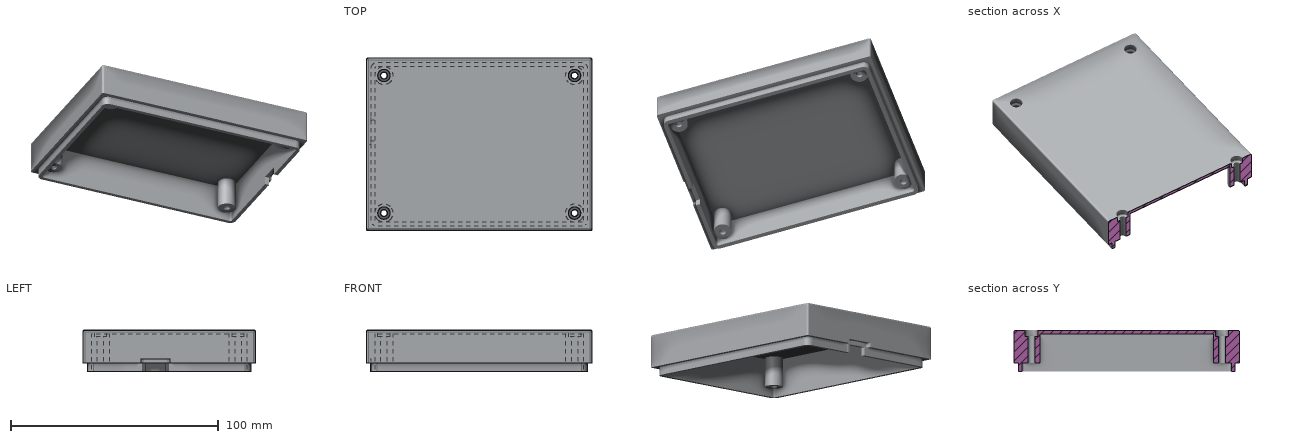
import cadquery as cq

length = 108.7
width = 83.2
height = 20.0
edge_radius = 1.0

lip_height = 4.0
lip_inset = 2.2
lip_thickness = 2.0
lip_corner_radius = 3.0

roof_thickness = 2.0
wall_thickness = lip_inset + lip_thickness
cavity_corner_radius = lip_corner_radius - lip_thickness

hole_edge_distance = 8.5
hole_diameter = 3.2
counterbore_diameter = 6.0
counterbore_depth = 3.0
boss_diameter = 8.7

opening_center_y = 6.6
opening_width = 10.1
pad_width = 1.0
pad_inset = 2.1
frame_width = opening_width + 2 * pad_width
recess_corner_radius = 1.0
recess_width = frame_width + 2 * recess_corner_radius
recess_depth = lip_inset
recess_rise = 2.1


def box_from(size_x, size_y, bottom, top):
    """Box centered on the Z axis between two heights."""
    box = cq.Workplane("XY").box(size_x, size_y, top - bottom, centered=(True, True, False))
    return box.translate((0, 0, bottom))


def wall_box(start_inset, end_inset, size_y, bottom, top):
    """Box in the -X wall, between two distances in from its outer face."""
    box = cq.Workplane("XY").box(end_inset - start_inset, size_y, top - bottom, centered=(False, True, False))
    return box.translate((start_inset - length / 2, opening_center_y, bottom))


def make_shell():
    cover = box_from(length, width, lip_height, height).edges("|Z or >Z").fillet(edge_radius)
    lip = box_from(length - 2 * lip_inset, width - 2 * lip_inset, 0, height - roof_thickness)
    lip = lip.edges("|Z").fillet(lip_corner_radius)
    cavity = box_from(length - 2 * wall_thickness, width - 2 * wall_thickness, 0, height - roof_thickness)
    cavity = cavity.edges("|Z").fillet(cavity_corner_radius)
    return cover.union(lip).cut(cavity)


def add_screw_holes(body):
    spacing_x = length - 2 * hole_edge_distance
    spacing_y = width - 2 * hole_edge_distance
    bosses = (
        cq.Workplane("XY", origin=(0, 0, lip_height))
        .rarray(spacing_x, spacing_y, 2, 2)
        .circle(boss_diameter / 2)
        .extrude(height - roof_thickness - lip_height)
    )
    return (
        body.union(bosses)
        .faces(">Z")
        .workplane(origin=(0, 0, height))
        .rarray(spacing_x, spacing_y, 2, 2)
        .cboreHole(hole_diameter, counterbore_diameter, counterbore_depth)
    )


def cut_cable_opening(body):
    recess = wall_box(0, recess_depth, recess_width, lip_height, lip_height + recess_rise)
    recess = recess.edges("|Z and >X").fillet(recess_corner_radius)
    pads = wall_box(pad_inset, wall_thickness, frame_width, 0, lip_height)
    opening = wall_box(0, wall_thickness, opening_width, 0, lip_height)
    return body.cut(recess).union(pads).cut(opening)


result = cut_cable_opening(add_screw_holes(make_shell()))